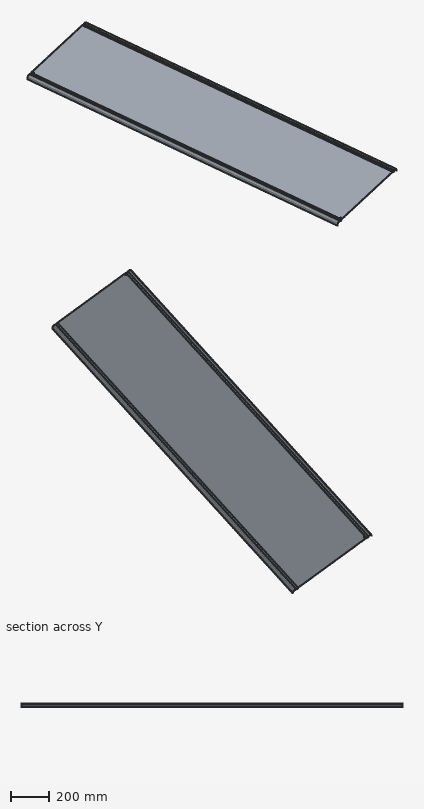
import cadquery as cq
import math

length = 2000.0
width = 535.0
height = 20.0
thickness = 1.0
skirt_tilt = math.radians(15)
bend_radius = 8.0
bead_inset = 30.0
bead_radius = 5.0
hole_diameter = 5.0
hole_end_inset = 10.0
hole_side_inset = 42.0

half_width = width / 2
bead_y = half_width - bead_inset

bend_z = height - bend_radius
tangent_z = bend_z + bend_radius * math.sin(skirt_tilt)
bend_y = half_width - tangent_z * math.tan(skirt_tilt) - bend_radius * math.cos(skirt_tilt)


def bend_point(radius, angle):
    """Point on the +Y bend, with the angle measured up from +Y."""
    return bend_y + radius * math.cos(angle), bend_z + radius * math.sin(angle)


def mirrored(point):
    """The matching point on the -Y side."""
    return -point[0], point[1]


def form(inset):
    """Solid bounded by the top skin after moving that skin inward by inset."""
    top = height - inset
    radius = bend_radius - inset
    foot = (half_width - inset / math.cos(skirt_tilt), 0)
    bend_start = bend_point(radius, skirt_tilt)
    bend_middle = bend_point(radius, (skirt_tilt + math.pi / 2) / 2)
    bend_end = (bend_y, top)

    outer_bead_radius = bead_radius + inset
    bead_half = math.sqrt(outer_bead_radius**2 - inset**2)

    section = cq.Workplane("YZ").moveTo(*mirrored(foot)).lineTo(*mirrored(bend_start))
    section = section.threePointArc(mirrored(bend_middle), mirrored(bend_end))
    for y in (-bead_y, bead_y):
        section = section.lineTo(y - bead_half, top)
        section = section.threePointArc((y, height - outer_bead_radius), (y + bead_half, top))
    section = section.lineTo(*bend_end).threePointArc(bend_middle, bend_start)
    return section.lineTo(*foot).close().extrude(length / 2, both=True)


sheet = form(0).cut(form(thickness))

hole_x = length / 2 - hole_end_inset
hole_y = hole_side_inset - half_width
holes = (
    cq.Workplane("XY")
    .pushPoints([(-hole_x, hole_y), (hole_x, hole_y)])
    .circle(hole_diameter / 2)
    .extrude(height)
)

result = sheet.cut(holes)